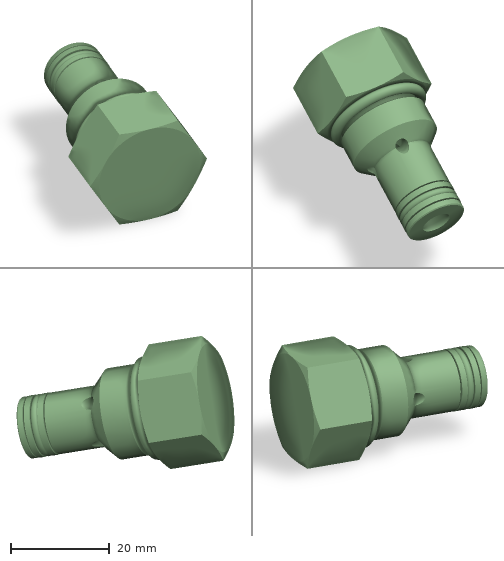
import cadquery as cq
import math


total_length = 40.65
nose_chamfer = 0.2
cone_start = 15.97
shoulder_end = 24.65
head_start = 27.9
head_chamfer = 0.65

nose_diameter = 12.65
shoulder_diameter = 18.75
neck_diameter = 16.82
head_across_flats = 22.25
head_across_corners = head_across_flats / math.cos(math.radians(30))

nose_radius = nose_diameter / 2
shoulder_radius = shoulder_diameter / 2
neck_radius = neck_diameter / 2
cone_end = cone_start + shoulder_radius - nose_radius

shoulder_chamfer_angle = 60.0
shoulder_drop = shoulder_radius - neck_radius
neck_start = shoulder_end + shoulder_drop / math.tan(math.radians(shoulder_chamfer_angle))

bore_diameter = 6.0
bore_tip_half_angle = 59.0
port_diameter = 2.75
port_count = 4
port_angle = 45.0
port_meeting_x = cone_start + nose_radius
port_outer_reach = 6.1
bore_depth = port_meeting_x + port_diameter / 2

groove_start = 1.3
groove_diameter = 10.53
groove_gap = 0.33
backup_ring_width = 1.2
backup_ring_diameter = 12.75
nose_oring_section = 1.65
groove_width = 2 * groove_gap + 2 * backup_ring_width + nose_oring_section
nose_oring_x = groove_start + groove_width / 2
nose_oring_radius = (backup_ring_diameter - nose_oring_section) / 2
backup_ring_offset = (nose_oring_section + backup_ring_width) / 2

head_oring_section = 2.2
head_oring_x = head_start - head_oring_section / 2
head_oring_radius = neck_radius + head_oring_section / 2


def disc(start_x, length, diameter):
    """Solid cylinder along X."""
    return cq.Workplane("YZ").workplane(offset=start_x).circle(diameter / 2).extrude(length)


def tube(start_x, length, outer_diameter, inner_diameter):
    """Hollow cylinder along X."""
    return disc(start_x, length, outer_diameter).cut(disc(start_x, length, inner_diameter))


def revolve_about_x(points):
    """Revolve a closed outline of (x, radius) points about the X axis."""
    return cq.Workplane("XY").polyline(points).close().revolve(360, (0, 0, 0), (1, 0, 0))


def make_oring(center_x, ring_radius, section_diameter):
    """Torus around X; ring_radius reaches the centre of the round section."""
    section = cq.Workplane("XY").center(center_x, ring_radius).circle(section_diameter / 2)
    return section.revolve(360, (0, -ring_radius, 0), (1, -ring_radius, 0))


def make_shank():
    """Round part of the plug from the nose face to the head."""
    return revolve_about_x([
        (0, 0),
        (0, nose_radius - nose_chamfer),
        (nose_chamfer, nose_radius),
        (cone_start, nose_radius),
        (cone_end, shoulder_radius),
        (shoulder_end, shoulder_radius),
        (neck_start, neck_radius),
        (head_start, neck_radius),
        (head_start, 0),
    ])


def make_head():
    """Hexagon with flats facing +Z and -Z, its corners chamfered at both ends."""
    hexagon = (
        cq.Workplane("YZ")
        .workplane(offset=head_start)
        .polygon(6, head_across_corners)
        .extrude(total_length - head_start)
    )
    face_radius = head_across_flats / 2
    corner_radius = head_across_corners / 2
    chamfer_envelope = revolve_about_x([
        (head_start, 0),
        (head_start, face_radius),
        (head_start + head_chamfer, corner_radius),
        (total_length - head_chamfer, corner_radius),
        (total_length, face_radius),
        (total_length, 0),
    ])
    return hexagon.intersect(chamfer_envelope)


def make_bore():
    """Blind bore from the nose face, ending in a drill point."""
    bore_radius = bore_diameter / 2
    tip_length = bore_radius / math.tan(math.radians(bore_tip_half_angle))
    return revolve_about_x([
        (0, 0),
        (0, bore_radius),
        (bore_depth, bore_radius),
        (bore_depth + tip_length, 0),
    ])


def make_port(turn):
    """Slanted drill from outside the cone down to the plug axis, turned about X."""
    slant = math.radians(port_angle)
    direction = cq.Vector(-math.cos(slant), 0, math.sin(slant))
    length = nose_radius / math.sin(slant) + port_outer_reach
    port = cq.Solid.makeCylinder(port_diameter / 2, length, cq.Vector(port_meeting_x, 0, 0), direction)
    return port.rotate(cq.Vector(0, 0, 0), cq.Vector(1, 0, 0), turn)


def make_plug(seated_oring):
    """Shank and head in one piece, with the groove, O-ring seat, bore and ports cut out."""
    plug = make_shank().union(make_head())
    plug = plug.cut(tube(groove_start, groove_width, shoulder_diameter, groove_diameter))
    plug = plug.cut(seated_oring)
    plug = plug.cut(make_bore())
    for index in range(port_count):
        plug = plug.cut(cq.Workplane(make_port(index * 360 / port_count)))
    return plug


def make_backup_ring(center_x):
    """Flat ring standing on the groove floor."""
    start_x = center_x - backup_ring_width / 2
    return tube(start_x, backup_ring_width, backup_ring_diameter, groove_diameter)


nose_oring = make_oring(nose_oring_x, nose_oring_radius, nose_oring_section)
head_oring = make_oring(head_oring_x, head_oring_radius, head_oring_section)
backup_rings = [make_backup_ring(nose_oring_x + side * backup_ring_offset) for side in (-1, 1)]
plug = make_plug(nose_oring)

result = cq.Compound.makeCompound([
    plug.val(),
    nose_oring.val(),
    head_oring.val(),
    *[ring.val() for ring in backup_rings],
])